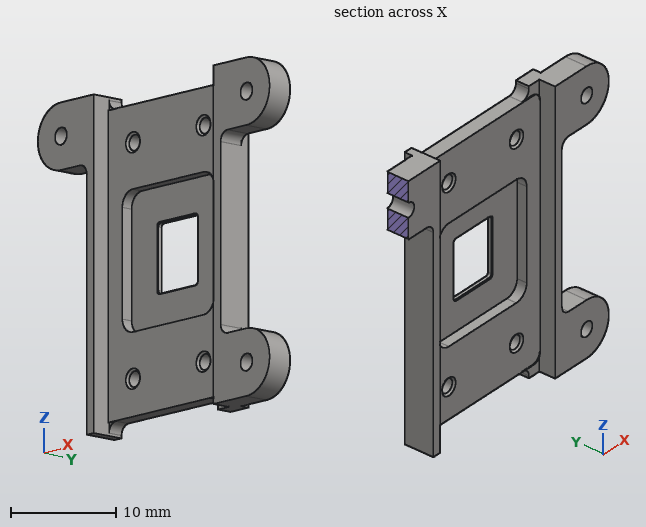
import cadquery as cq

SIZE = 32.95
HALF = SIZE / 2
DEPTH = 3.55
FRONT = -DEPTH / 2
BACK = DEPTH / 2

CHANNEL_HALF_WIDTH = 8.5
RAIL_WIDTH = 1.02
RAIL_OUTER = CHANNEL_HALF_WIDTH + RAIL_WIDTH
LUG_RADIUS = 3.3
LUG_CENTER = HALF - LUG_RADIUS
LUG_SETBACK = 0.92
LUG_BACK = BACK - LUG_SETBACK
LUG_HOLE_DIAMETER = 1.68
CORNER_FILLET = 1.0
LUGS = [(-1, 1), (1, 1), (1, -1)]

PLATE_HALF_HEIGHT = 15.2
PLATE_THICKNESS = 1.7
PLATE_FRONT = BACK - PLATE_THICKNESS
PLATE_CORNER_RADIUS = 1.0
FACE_STEP = 0.1
BLOCK_FRONT = PLATE_FRONT + FACE_STEP
BLOCK_INNER = 6.95

POCKET_WIDTH = 13.0
POCKET_HEIGHT = 13.9
POCKET_CORNER_RADIUS = 1.5
POCKET_DEPTH = 1.2
POCKET_FLOOR = PLATE_FRONT + POCKET_DEPTH
WINDOW_WIDTH = 5.6
WINDOW_HEIGHT = 6.85
WINDOW_CORNER_RADIUS = 0.33
WINDOW_CHAMFER = 0.1
WINDOW_CHAMFER_ANGLE = 45

PLATE_HOLE_X = 5.0
PLATE_HOLE_Z = 11.5
PLATE_HOLE_DIAMETER = 1.55
COUNTERSINK = 0.23


def box(x_range, y_range, z_range):
    """Box spanning the given ranges, which may run in either direction."""
    x0, x1 = sorted(x_range)
    y0, y1 = sorted(y_range)
    z0, z1 = sorted(z_range)
    return cq.Workplane("XY").box(x1 - x0, y1 - y0, z1 - z0, centered=False).translate((x0, y0, z0))


def front_plane(y):
    """XZ sketch plane at depth y; positive extrusion runs toward the front."""
    return cq.Workplane("XZ", origin=(0, y, 0))


def rail(side):
    return box((side * CHANNEL_HALF_WIDTH, side * RAIL_OUTER), (FRONT, BACK), (-HALF, HALF))


def corner_web(side_x, side_z, corner_x, corner_z, back, front):
    """Concave fillet filling the corner at (corner_x, corner_z), growing to side_x and side_z."""
    blank = box(
        (corner_x, corner_x + side_x * CORNER_FILLET),
        (back, front),
        (corner_z, corner_z + side_z * CORNER_FILLET),
    )
    hollow = (
        front_plane(back)
        .center(corner_x + side_x * CORNER_FILLET, corner_z + side_z * CORNER_FILLET)
        .circle(CORNER_FILLET)
        .extrude(back - front)
    )
    return blank.cut(hollow)


def lug(side_x, side_z):
    """Rounded ear with its straight neck and the fillet onto the rail."""
    x = side_x * LUG_CENTER
    z = side_z * LUG_CENTER
    ear = front_plane(LUG_BACK).center(x, z).circle(LUG_RADIUS).extrude(LUG_BACK - FRONT)
    neck = box(
        (side_x * CHANNEL_HALF_WIDTH, x), (FRONT, LUG_BACK), (z - LUG_RADIUS, z + LUG_RADIUS)
    )
    web = corner_web(side_x, -side_z, side_x * RAIL_OUTER, z - side_z * LUG_RADIUS, LUG_BACK, FRONT)
    return ear.union(neck).union(web)


def plate():
    """Main plate; the raised front skin has rounded corners beside the right rail."""
    width = (-CHANNEL_HALF_WIDTH, CHANNEL_HALF_WIDTH)
    height = (-PLATE_HALF_HEIGHT, PLATE_HALF_HEIGHT)
    core = box(width, (BLOCK_FRONT, BACK), height)
    skin = box(width, (PLATE_FRONT, BLOCK_FRONT), height).edges("|Y and >X").fillet(PLATE_CORNER_RADIUS)
    return core.union(skin)


def end_details(side_z):
    """Block beside the right rail and the fillets in both corners of one plate end."""
    edge = side_z * PLATE_HALF_HEIGHT
    block = box((BLOCK_INNER, CHANNEL_HALF_WIDTH), (BLOCK_FRONT, BACK), (edge, side_z * HALF))
    left_web = corner_web(1, side_z, -CHANNEL_HALF_WIDTH, edge, BACK, BLOCK_FRONT)
    right_web = corner_web(-1, side_z, BLOCK_INNER, edge, BACK, BLOCK_FRONT)
    return block.union(left_web).union(right_web)


def pocket():
    return (
        front_plane(POCKET_FLOOR)
        .rect(POCKET_WIDTH, POCKET_HEIGHT)
        .extrude(POCKET_DEPTH)
        .edges("|Y")
        .fillet(POCKET_CORNER_RADIUS)
    )


def window():
    """Through opening that flares out at the pocket floor."""
    flared_width = WINDOW_WIDTH + 2 * WINDOW_CHAMFER
    flared_height = WINDOW_HEIGHT + 2 * WINDOW_CHAMFER
    opening = (
        front_plane(BACK)
        .rect(WINDOW_WIDTH, WINDOW_HEIGHT)
        .extrude(BACK - POCKET_FLOOR)
        .edges("|Y")
        .fillet(WINDOW_CORNER_RADIUS)
    )
    flare_sketch = (
        cq.Sketch()
        .rect(flared_height, flared_width)
        .vertices()
        .fillet(WINDOW_CORNER_RADIUS + WINDOW_CHAMFER)
    )
    flare = (
        cq.Workplane("ZX", origin=(0, POCKET_FLOOR, 0))
        .placeSketch(flare_sketch)
        .extrude(WINDOW_CHAMFER, taper=WINDOW_CHAMFER_ANGLE)
    )
    return opening.union(flare)


def plate_hole(x, z):
    """Through hole with a conical countersink on the plate front."""
    radius = PLATE_HOLE_DIAMETER / 2
    bore = front_plane(BACK).center(x, z).circle(radius).extrude(PLATE_THICKNESS)
    cone = cq.Solid.makeCone(
        radius + COUNTERSINK, radius, COUNTERSINK, cq.Vector(x, PLATE_FRONT, z), cq.Vector(0, 1, 0)
    )
    return bore.union(cq.Workplane(cone))


def lug_hole(side_x, side_z):
    return (
        front_plane(LUG_BACK)
        .center(side_x * LUG_CENTER, side_z * LUG_CENTER)
        .circle(LUG_HOLE_DIAMETER / 2)
        .extrude(LUG_BACK - FRONT)
    )


result = plate()

for side in (-1, 1):
    result = result.union(rail(side)).union(end_details(side))

for side_x, side_z in LUGS:
    result = result.union(lug(side_x, side_z)).cut(lug_hole(side_x, side_z))

result = result.cut(pocket()).cut(window())

for hole_x in (-PLATE_HOLE_X, PLATE_HOLE_X):
    for hole_z in (-PLATE_HOLE_Z, PLATE_HOLE_Z):
        result = result.cut(plate_hole(hole_x, hole_z))